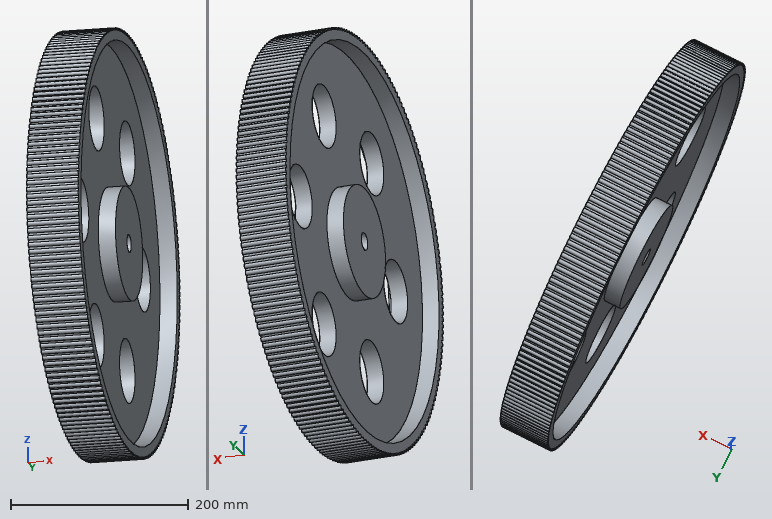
import cadquery as cq
import math

outer_diameter = 487.5
wheel_width = 60.0

recess_diameter = 460.0
web_thickness = wheel_width / 3
recess_depth = (wheel_width - web_thickness) / 2
hub_diameter = 130.0
bore_diameter = 20.0

hole_count = 6
hole_diameter = 73.5
hole_circle_diameter = 294.5

tooth_count = 192
tooth_width = 5.5
tooth_height = 2.5

outer_radius = outer_diameter / 2
root_radius = outer_radius - tooth_height
tooth_pitch_angle = 2 * math.pi / tooth_count
tooth_half_angle = math.asin(tooth_width / 2 / root_radius)


def polar(radius, angle):
    """Point at a radius and angle; the first sketch direction is +Y, the second +Z."""
    return (radius * math.cos(angle), radius * math.sin(angle))


def toothed_blank():
    """Solid disc ringed with teeth, the first of them centred on +Y."""
    outline = cq.Workplane("YZ", origin=(-wheel_width / 2, 0, 0))
    outline = outline.moveTo(*polar(root_radius, -tooth_half_angle))
    for tooth in range(tooth_count):
        tooth_middle = tooth * tooth_pitch_angle
        gap_middle = tooth_middle + tooth_pitch_angle / 2
        next_tooth_start = tooth_middle + tooth_pitch_angle - tooth_half_angle
        is_last_tooth = tooth == tooth_count - 1
        outline = outline.threePointArc(
            polar(outer_radius, tooth_middle),
            polar(root_radius, tooth_middle + tooth_half_angle),
        )
        outline = outline.lineTo(*polar(root_radius, gap_middle))
        if not is_last_tooth:
            outline = outline.lineTo(*polar(root_radius, next_tooth_start))
    return outline.close().extrude(wheel_width)


def face_recess(start_x):
    """Ring-shaped recess between the hub and the rim, starting at start_x."""
    return (
        cq.Workplane("YZ", origin=(start_x, 0, 0))
        .circle(recess_diameter / 2)
        .circle(hub_diameter / 2)
        .extrude(recess_depth)
    )


def through_holes():
    """Central bore and the ring of lightening holes, the first of them on +Y."""
    section = cq.Workplane("YZ", origin=(-wheel_width / 2, 0, 0))
    bore = section.circle(bore_diameter / 2).extrude(wheel_width)
    lightening_holes = (
        section.polarArray(hole_circle_diameter / 2, 0, 360, hole_count)
        .circle(hole_diameter / 2)
        .extrude(wheel_width)
    )
    return bore.add(lightening_holes).combine()


result = (
    toothed_blank()
    .cut(face_recess(-wheel_width / 2))
    .cut(face_recess(web_thickness / 2))
    .cut(through_holes())
)